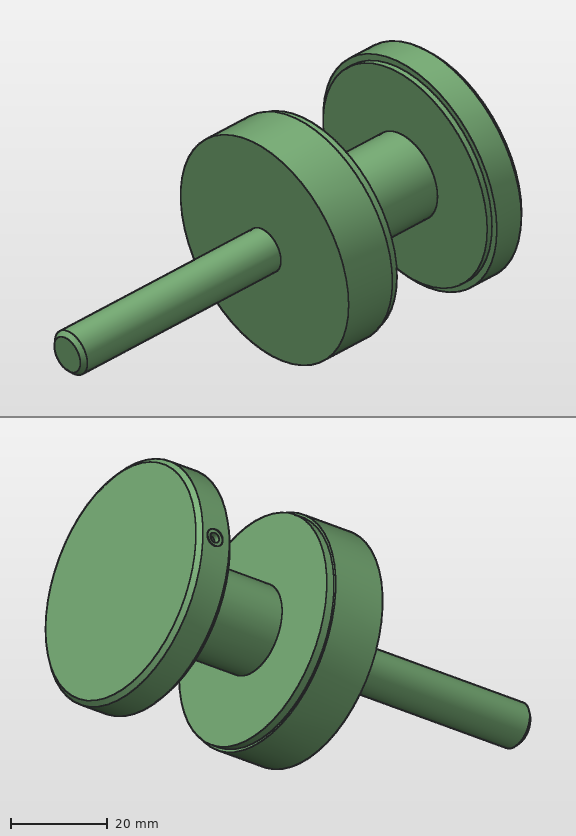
import cadquery as cq

LENGTH = 103.3
BACK_FACE = LENGTH / 2

CAP_DIAMETER = 53.7
CAP_THICKNESS = 7.8
CAP_CHAMFER = 1.0
CAP_RECESS_FLOOR = 6.8

FLANGE_DIAMETER = 50.7
NECK_DIAMETER = 20.0
REAR_FLANGE_END = 9.2
FRONT_FLANGE_START = 34.3
FRONT_FLANGE_END = 36.1

DISC_DIAMETER = 51.9
DISC_END = 48.3
ROD_DIAMETER = 10.1
ROD_CHAMFER = 1.0

SCREW_DIAMETER = 3.9
SCREW_LENGTH = 5.2
SCREW_DEPTH = 4.2
SCREW_INSET = 0.2
SOCKET_DIAMETER = 2.3
SOCKET_DEPTH = 1.5

SCREW_Y = BACK_FACE - SCREW_DEPTH
SCREW_OUTER_X = -CAP_DIAMETER / 2 + SCREW_INSET
SCREW_INNER_X = SCREW_OUTER_X + SCREW_LENGTH


def cylinder(diameter, start, end):
    """Cylinder along -Y between two depths below the back face."""
    plane = cq.Workplane("XZ", origin=(0, BACK_FACE - start, 0))
    return plane.circle(diameter / 2).extrude(end - start)


def make_cap():
    cap = cylinder(CAP_DIAMETER, 0, CAP_THICKNESS).faces(">Y").chamfer(CAP_CHAMFER)
    recess = cylinder(FLANGE_DIAMETER, CAP_RECESS_FLOOR, CAP_THICKNESS)
    screw_hole = (
        cq.Workplane("YZ", origin=(SCREW_INNER_X, SCREW_Y, 0))
        .circle(SCREW_DIAMETER / 2)
        .extrude(-CAP_DIAMETER)
    )
    return cap.cut(recess).cut(screw_hole)


def make_spool():
    rear_flange = cylinder(FLANGE_DIAMETER, CAP_RECESS_FLOOR, REAR_FLANGE_END)
    neck = cylinder(NECK_DIAMETER, REAR_FLANGE_END, FRONT_FLANGE_START)
    front_flange = cylinder(FLANGE_DIAMETER, FRONT_FLANGE_START, FRONT_FLANGE_END)
    return rear_flange.union(neck).union(front_flange)


def make_front_disc():
    disc = cylinder(DISC_DIAMETER, FRONT_FLANGE_END, DISC_END)
    rod = cylinder(ROD_DIAMETER, DISC_END, LENGTH).faces("<Y").chamfer(ROD_CHAMFER)
    return disc.union(rod)


def make_set_screw():
    outer_end = cq.Workplane("YZ", origin=(SCREW_OUTER_X, SCREW_Y, 0))
    shank = outer_end.circle(SCREW_DIAMETER / 2).extrude(SCREW_LENGTH)
    socket = outer_end.circle(SOCKET_DIAMETER / 2).extrude(SOCKET_DEPTH)
    return shank.cut(socket)


cap = make_cap()
spool = make_spool()
front_disc = make_front_disc()
set_screw = make_set_screw()

result = cq.Compound.makeCompound([cap.val(), spool.val(), front_disc.val(), set_screw.val()])